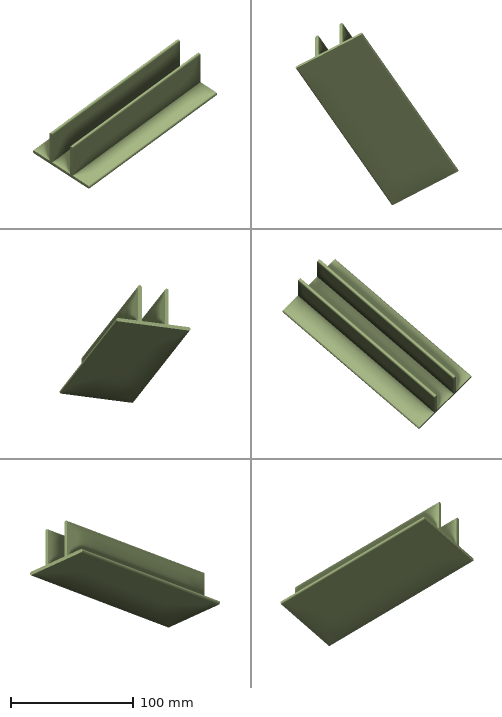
import cadquery as cq

length = 152.4
base_width = 63.5
height = 34.9
thickness = 3.0
channel_width = 20.0

edge_radius = thickness / 2
wall_spacing = channel_width + thickness


def section():
    """Sketch plane for the cross-section, centred on the part's length."""
    return cq.Workplane("XZ", origin=(0, length / 2, 0))


def base_plate():
    """Flat plate on Z = 0 with both long side edges fully rounded."""
    return section().center(0, thickness / 2).slot2D(base_width, thickness).extrude(length)


def wall(wall_x):
    """Upright wall centred on wall_x, with a fully rounded top edge."""
    shoulder = height - edge_radius
    left = wall_x - thickness / 2
    right = wall_x + thickness / 2
    return (
        section()
        .moveTo(left, edge_radius)
        .lineTo(right, edge_radius)
        .lineTo(right, shoulder)
        .threePointArc((wall_x, height), (left, shoulder))
        .close()
        .extrude(length)
    )


result = base_plate()
for side in (-1, 1):
    result = result.union(wall(side * wall_spacing / 2))